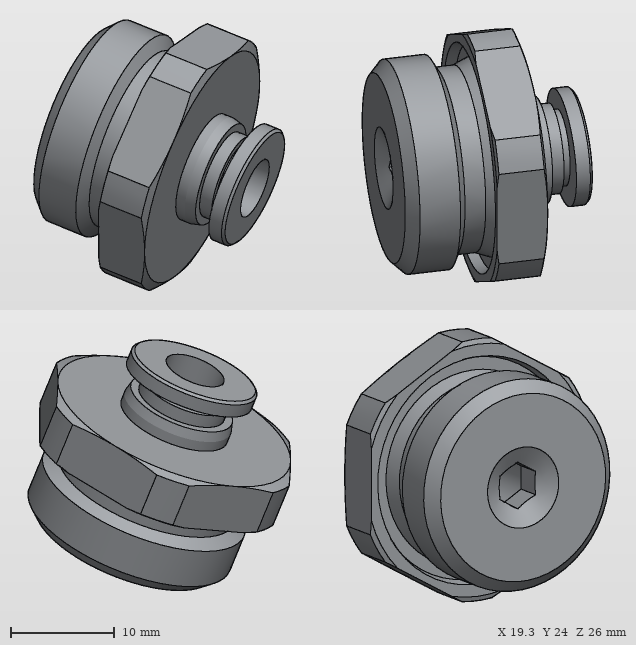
import cadquery as cq
import math


stud_radius = 10.48
stud_chamfer = 1.2
stud_shoulder_x = 5.2
neck_radius = 9.13
neck_start_x = 5.95
neck_end_x = 8.0
neck_flare_angle = 22.0

hex_across_flats = 24.0
hex_turned_radius = 13.0
hex_start_x = 8.48
hex_end_x = 13.5
hex_bevel_angle = 20.0
hex_stud_face_radius = 12.5

recess_mouth_radius = 11.28
recess_floor_radius = 11.0
recess_depth = 1.05

collar_radius = 5.5
collar_taper_start_x = 14.5
collar_end_x = 15.52
collar_tip_radius = 5.25
sleeve_radius = 4.42
sleeve_end_x = 16.85
collet_radius = 3.75

ring_half_width = 6.47
ring_half_height = 5.5
ring_start_x = 17.6
ring_chamfer = 0.25
total_length = 19.25

countersink_radius = 4.0
countersink_half_angle = 60.0
socket_across_flats = 4.0
socket_end_x = 3.75
bore_radius = 3.0


def revolve_profile(points):
    """Turn a closed (x, radius) outline about the X axis."""
    return cq.Workplane("XZ").polyline(points).close().revolve(360, (0, 0, 0), (1, 0, 0))


def hexagonal_prism(across_flats, start_x, end_x):
    """Hexagonal bar along X with its corners at +Z and -Z and its flats at +Y and -Y."""
    corner_radius = across_flats / 2 / math.cos(math.radians(30))
    corners = []
    for index in range(6):
        angle = math.radians(90 + 60 * index)
        corners.append((corner_radius * math.cos(angle), corner_radius * math.sin(angle)))
    return (
        cq.Workplane("YZ").workplane(offset=start_x)
        .polyline(corners).close().extrude(end_x - start_x)
    )


def make_stud():
    """Chamfered stud and undercut neck, flaring out to the floor of the seal recess."""
    floor_x = hex_start_x + recess_depth
    flare_radius = neck_radius + (floor_x - neck_end_x) * math.tan(math.radians(neck_flare_angle))
    return revolve_profile([
        (0, 0),
        (0, stud_radius - stud_chamfer),
        (stud_chamfer, stud_radius),
        (stud_shoulder_x, stud_radius),
        (neck_start_x, neck_radius),
        (neck_end_x, neck_radius),
        (floor_x, flare_radius),
        (floor_x, 0),
    ])


def make_hex_body():
    """Hexagon with turned, bevelled corners and a conical recess in its stud-side face."""
    bevel_slope = math.tan(math.radians(hex_bevel_angle))
    tube_face_radius = hex_across_flats / 2
    stud_bevel = (hex_turned_radius - hex_stud_face_radius) * bevel_slope
    tube_bevel = (hex_turned_radius - tube_face_radius) * bevel_slope
    turned_blank = revolve_profile([
        (hex_start_x, 0),
        (hex_start_x, hex_stud_face_radius),
        (hex_start_x + stud_bevel, hex_turned_radius),
        (hex_end_x - tube_bevel, hex_turned_radius),
        (hex_end_x, tube_face_radius),
        (hex_end_x, 0),
    ])
    recess = revolve_profile([
        (hex_start_x, 0),
        (hex_start_x, recess_mouth_radius),
        (hex_start_x + recess_depth, recess_floor_radius),
        (hex_start_x + recess_depth, 0),
    ])
    prism = hexagonal_prism(hex_across_flats, hex_start_x, hex_end_x)
    return prism.intersect(turned_blank).cut(recess)


def make_collar():
    """Tapered collar, sleeve and collet, stepping down to the release ring."""
    return revolve_profile([
        (hex_end_x, 0),
        (hex_end_x, collar_radius),
        (collar_taper_start_x, collar_radius),
        (collar_end_x, collar_tip_radius),
        (collar_end_x, sleeve_radius),
        (sleeve_end_x, sleeve_radius),
        (sleeve_end_x, collet_radius),
        (ring_start_x, collet_radius),
        (ring_start_x, 0),
    ])


def make_release_ring():
    """Elliptical ring, longer in Y, chamfered around its outer end."""
    return (
        cq.Workplane("YZ").workplane(offset=ring_start_x)
        .ellipse(ring_half_width, ring_half_height)
        .extrude(total_length - ring_start_x)
        .faces(">X").chamfer(ring_chamfer)
    )


def make_passage():
    """Through passage: countersink, then hexagon socket, then round tube bore."""
    countersink_depth = countersink_radius / math.tan(math.radians(countersink_half_angle))
    countersink = revolve_profile([(0, 0), (0, countersink_radius), (countersink_depth, 0)])
    socket = hexagonal_prism(socket_across_flats, 0, socket_end_x)
    bore = (
        cq.Workplane("YZ").workplane(offset=socket_end_x)
        .circle(bore_radius).extrude(total_length - socket_end_x)
    )
    return countersink.union(socket).union(bore)


body = make_stud().union(make_hex_body()).union(make_collar()).union(make_release_ring())
result = body.cut(make_passage())